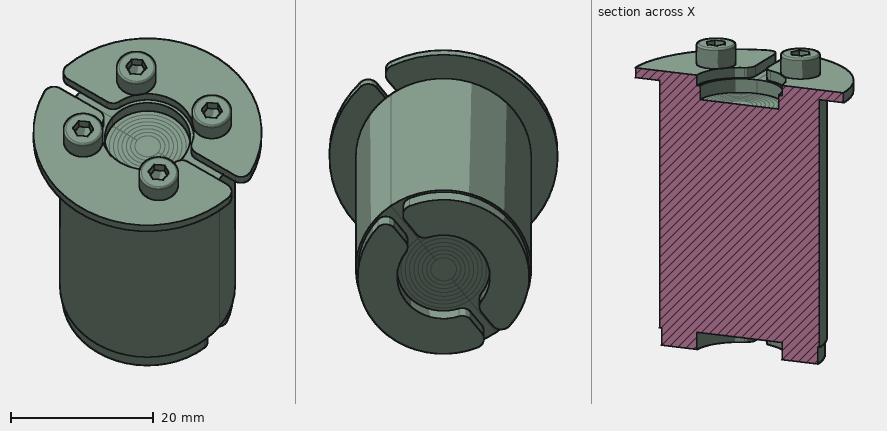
import cadquery as cq
import math

body_diameter = 24.6
body_length = 36.0
bore_diameter = 12.0
core_diameter = 3.6
layer_count = 7
recess_depth = 2.0

top_plate_diameter = 32.0
top_plate_thickness = 1.5
bottom_plate_diameter = 24.0
bottom_plate_thickness = 2.5
plate_slot = 1.9
plate_opening_diameter = 13.0
outer_corner_radius = 1.5
opening_corner_radius = 1.5

screw_circle_diameter = (body_diameter + bore_diameter) / 2
head_diameter = 5.5
head_height = 3.0
head_edge_radius = 0.3
socket_across_flats = 2.5
socket_depth = 1.3
socket_floor_angle = 120.0

body_bottom = bottom_plate_thickness
body_top = body_bottom + body_length
plate_top = body_top + top_plate_thickness


def half_ring(outer_diameter, inner_diameter, height, start=0):
    """The stretch of a tube that lies beyond Y = start."""
    ring = cq.Workplane("XY").circle(outer_diameter / 2).circle(inner_diameter / 2).extrude(height)
    keep = cq.Workplane("XY").box(outer_diameter, outer_diameter, height, centered=(True, False, False))
    return ring.intersect(keep.translate((0, start, 0)))


def half_plate(diameter, thickness):
    """Half disc on the +Y side of the slot, with a round opening for the bore."""
    plate = half_ring(diameter, plate_opening_diameter, thickness, plate_slot / 2)
    plate = plate.edges("|Z and (>X or <X)").fillet(outer_corner_radius)
    reach = plate_opening_diameter / 2
    opening_zone = cq.selectors.BoxSelector((-reach, 0, 0), (reach, plate_slot, thickness))
    return plate.edges("|Z").edges(opening_zone).fillet(opening_corner_radius)


def clamp_plates(diameter, thickness, bottom):
    """A half plate on each side of the slot."""
    half = half_plate(diameter, thickness).translate((0, 0, bottom))
    return [half, half.mirror("XZ")]


def sealing_body():
    """Core, split peel-off layers and split outer shell, all starting at the same level."""
    layer_height = body_length - recess_depth
    layer_step = (bore_diameter - core_diameter) / layer_count
    halves = [half_ring(body_diameter, bore_diameter, body_length)]
    for i in range(layer_count):
        inner = core_diameter + i * layer_step
        halves.append(half_ring(inner + layer_step, inner, layer_height))
    pieces = [cq.Workplane("XY").circle(core_diameter / 2).extrude(layer_height)]
    for half in halves:
        pieces += [half, half.mirror("XZ")]
    return [piece.translate((0, 0, body_bottom)) for piece in pieces]


def screw_head():
    """Cap head with a hexagon socket whose flats run down to a conical floor."""
    head = cq.Workplane("XY").circle(head_diameter / 2).extrude(head_height)
    head = head.faces(">Z").edges().fillet(head_edge_radius)
    corner_radius = socket_across_flats / 2 / math.cos(math.radians(30))
    point_depth = corner_radius / math.tan(math.radians(socket_floor_angle / 2))
    corner_floor = head_height - socket_depth
    tip = corner_floor - point_depth
    hexagon = (
        cq.Workplane("XY")
        .workplane(offset=tip)
        .polygon(6, 2 * corner_radius)
        .extrude(head_height - tip)
        .rotate((0, 0, 0), (0, 0, 1), 30)
    )
    pointed_bore = (
        cq.Workplane("XZ")
        .moveTo(0, tip)
        .lineTo(corner_radius, corner_floor)
        .lineTo(corner_radius, head_height)
        .lineTo(0, head_height)
        .close()
        .revolve(360, (0, 0), (0, 1))
    )
    return head.cut(hexagon.intersect(pointed_bore))


def screw_heads():
    """Heads standing on the upper plate, at equal offsets along X and Y."""
    head = screw_head()
    offset = screw_circle_diameter / 2 * math.sqrt(0.5)
    return [head.translate((x, y, plate_top)) for x in (-offset, offset) for y in (-offset, offset)]


pieces = sealing_body()
pieces += clamp_plates(bottom_plate_diameter, bottom_plate_thickness, 0)
pieces += clamp_plates(top_plate_diameter, top_plate_thickness, body_top)
pieces += screw_heads()

solids = [piece.val() for piece in pieces]
result = cq.Workplane(solids[0].fuse(*solids[1:]))